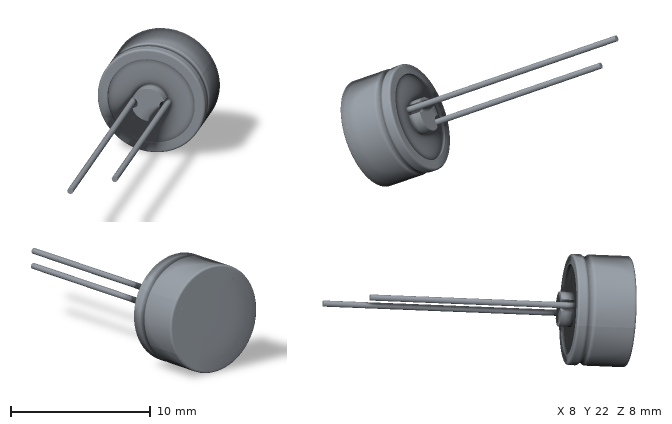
import cadquery as cq
import math

total_length = 22.0
can_length = 4.3
can_radius = 4.0
edge_round = 0.15
long_lead_tip = total_length - can_length
short_lead_tip = long_lead_tip - 3.0

bead_distance = 1.0
bead_half_width = 0.37
bead_depth = 0.18

core_radius = 3.25
recess_depth = 0.22
boss_radius = 1.25
boss_projection = 0.73
notch_radius = 0.45

lead_offset = 1.25
lead_radius = 0.22

stripe_angle = 60.0


def cylinder(radius, y_start, y_end, x=0.0):
    """Cylinder along +Y between two Y positions."""
    base = cq.Workplane("XZ", origin=(x, y_start, 0))
    return base.circle(radius).extrude(y_start - y_end)


def shell_sector(start_angle, sweep):
    """Sector of the beaded outer shell; angles run from +X toward +Z."""
    round_mid = edge_round * (1 - math.sqrt(0.5))
    bead_floor = can_radius - bead_depth
    bead_start = bead_distance - bead_half_width
    bead_end = bead_distance + bead_half_width
    flank_radius = can_radius - bead_depth / 2
    flank_front = bead_distance - bead_half_width / 2
    flank_back = bead_distance + bead_half_width / 2
    profile = (
        cq.Workplane("XY")
        .moveTo(core_radius, 0)
        .lineTo(can_radius - edge_round, 0)
        .threePointArc((can_radius - round_mid, round_mid), (can_radius, edge_round))
        .lineTo(can_radius, bead_start)
        .tangentArcPoint((flank_radius, flank_front), relative=False)
        .threePointArc((bead_floor, bead_distance), (flank_radius, flank_back))
        .tangentArcPoint((can_radius, bead_end), relative=False)
        .lineTo(can_radius, can_length - edge_round)
        .threePointArc(
            (can_radius - round_mid, can_length - round_mid),
            (can_radius - edge_round, can_length),
        )
        .lineTo(core_radius, can_length)
        .close()
    )
    sector = profile.revolve(sweep, (0, 0, 0), (0, 1, 0))
    return sector.rotate((0, 0, 0), (0, 1, 0), -start_angle - sweep)


def make_core():
    """Core disc and its boss, notched to clear the leads."""
    disc = cylinder(core_radius, recess_depth, can_length)
    boss = cylinder(boss_radius, -boss_projection, recess_depth)
    for side in (-1, 1):
        boss = boss.cut(cylinder(notch_radius, -boss_projection, recess_depth, side * lead_offset))
    return disc.union(boss)


def make_lead(x, tip_distance):
    """Straight round wire standing on the core face."""
    return cylinder(lead_radius, -tip_distance, recess_depth, x)


sleeve = shell_sector(stripe_angle / 2, 360 - stripe_angle)
stripe = shell_sector(-stripe_angle / 2, stripe_angle)
core = make_core()
leads = []
for lead_x, tip_distance in ((-lead_offset, long_lead_tip), (lead_offset, short_lead_tip)):
    leads.append(make_lead(lead_x, tip_distance).val())

result = cq.Compound.makeCompound([sleeve.val(), stripe.val(), core.val(), *leads])